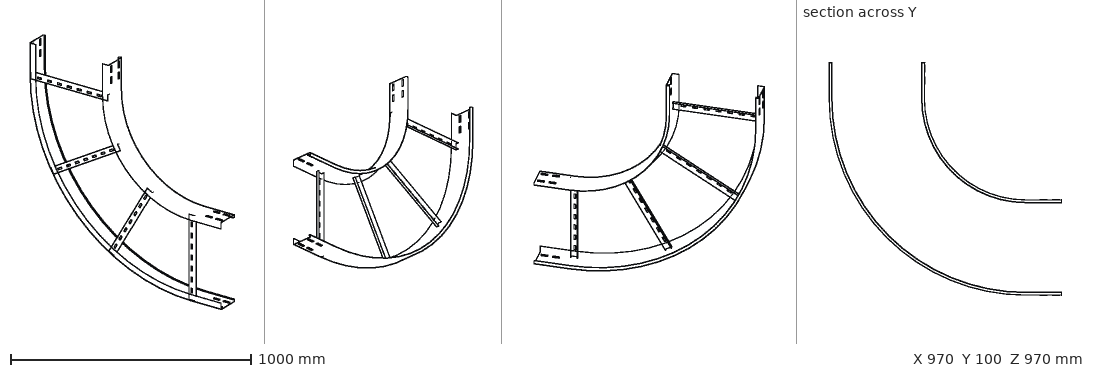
import cadquery as cq

overall_size = 970.0
rail_height = 100.0
end_length = 150.0
ladder_width = 400.0
outer_radius = overall_size - end_length
inner_radius = outer_radius - ladder_width
bend_x = overall_size / 2 - end_length
bend_z = overall_size / 2 - end_length
bend_angle = 90.0

rail_sheet = 2.0
rail_fold = 2.0
rung_sheet = 1.5
rung_fold = 1.0

front_y = -rail_height / 2
back_y = rail_height / 2
flange_width = 30.0
hem_width = 14.0
lip_length = 10.0

slot_pitch = 50.0

web_slot_length = 29.0
web_slot_width = 9.0
web_slot_end_gap = 24.0
web_slot_row_spacing = 55.0
web_slots_per_row = 2

rung_count = 4
rung_width = 30.0
rung_depth = 15.0
rung_end_gap = 3.0
rung_slot_count = 7
rung_slot_length = 20.0
rung_slot_width = 7.0

point_tolerance = 0.1

axis_start = cq.Vector(bend_x, 0, bend_z)
axis_end = cq.Vector(bend_x, 10, bend_z)


def round_corners(face, corners, radius):
    """Round the corners of a flat face that lie at the given points."""
    picked = [v for v in face.Vertices() if any((v.Center() - c).Length < point_tolerance for c in corners)]
    return face.fillet2D(radius, picked)


def folded_section(outline, outside_corners, inside_corners, sheet, fold):
    """Flat face with the given outline, its sheet folds rounded on both sides."""
    face = cq.Face.makeFromWires(cq.Wire.makePolygon(outline, close=True))
    face = round_corners(face, outside_corners, fold + sheet)
    return round_corners(face, inside_corners, fold)


def rail_section(web_radius, open_side):
    """Rail section where the bend begins; open_side is +1 away from the bend axis, -1 towards it."""
    def point(depth, y):
        return cq.Vector(bend_x - web_radius - open_side * depth, y, bend_z)

    outside_corners = [point(0, front_y), point(0, back_y), point(hem_width, back_y)]
    inside_corners = [
        point(hem_width - rail_sheet, back_y - rail_sheet),
        point(rail_sheet, back_y - rail_sheet),
        point(rail_sheet, front_y + rail_sheet),
    ]
    flange_edge = [point(flange_width, front_y + rail_sheet), point(flange_width, front_y)]
    lip_edge = [point(hem_width, back_y - lip_length), point(hem_width - rail_sheet, back_y - lip_length)]
    outline = flange_edge + outside_corners + lip_edge + inside_corners
    return folded_section(outline, outside_corners, inside_corners, rail_sheet, rail_fold)


def web_slots(web_radius, open_side):
    """Cutters for the slots through the web at the upper end of a rail."""
    web_x = bend_x - web_radius - open_side * rail_sheet / 2
    cutters = []
    for row_y in (-web_slot_row_spacing / 2, web_slot_row_spacing / 2):
        for index in range(web_slots_per_row):
            slot_z = overall_size / 2 - web_slot_end_gap - index * slot_pitch
            cutter = cq.Workplane().box(2 * rail_sheet, web_slot_width, web_slot_length)
            cutters.append(cutter.translate((web_x, row_y, slot_z)).val())
    return cutters


def make_rail(web_radius, open_side):
    """Folded rail: a quarter bend with a slotted straight end on either side."""
    section = rail_section(web_radius, open_side)
    upper_end = cq.Solid.extrudeLinear(section, cq.Vector(0, 0, end_length))
    upper_end = upper_end.cut(*web_slots(web_radius, open_side))
    bend = cq.Solid.revolve(section, bend_angle, axis_end, axis_start)
    lower_end = upper_end.mirror(cq.Vector(1, 0, -1), axis_start)
    return bend.fuse(upper_end, lower_end)


def make_rung(angle):
    """Channel behind the front flanges, spanning between the webs at an angle around the bend."""
    start_x = bend_x - outer_radius + rail_sheet + rung_end_gap
    end_x = bend_x - inner_radius - rail_sheet - rung_end_gap
    face_y = front_y + rail_sheet
    leg_y = face_y + rung_depth

    def point(y, side, inset):
        return cq.Vector(start_x, y, bend_z + side * (rung_width / 2 - inset))

    outside_corners = [point(face_y, -1, 0), point(face_y, 1, 0)]
    inside_corners = [point(face_y + rung_sheet, 1, rung_sheet), point(face_y + rung_sheet, -1, rung_sheet)]
    upper_leg = [point(leg_y, 1, 0), point(leg_y, 1, rung_sheet)]
    lower_leg = [point(leg_y, -1, rung_sheet), point(leg_y, -1, 0)]
    outline = outside_corners + upper_leg + inside_corners + lower_leg
    section = folded_section(outline, outside_corners, inside_corners, rung_sheet, rung_fold)
    rung = cq.Solid.extrudeLinear(section, cq.Vector(end_x - start_x, 0, 0))

    middle_x = (start_x + end_x) / 2
    for index in range(rung_slot_count):
        slot_x = middle_x + (index - (rung_slot_count - 1) / 2) * slot_pitch
        slot = cq.Workplane().box(rung_slot_length, 2 * rung_sheet, rung_slot_width)
        rung = rung.cut(slot.translate((slot_x, face_y + rung_sheet / 2, bend_z)).val())
    return rung.rotate(axis_start, axis_end, -angle)


outer_rail = make_rail(outer_radius, -1)
inner_rail = make_rail(inner_radius, 1)
rungs = [make_rung(index * bend_angle / (rung_count - 1)) for index in range(rung_count)]

result = cq.Compound.makeCompound([outer_rail, inner_rail, *rungs])